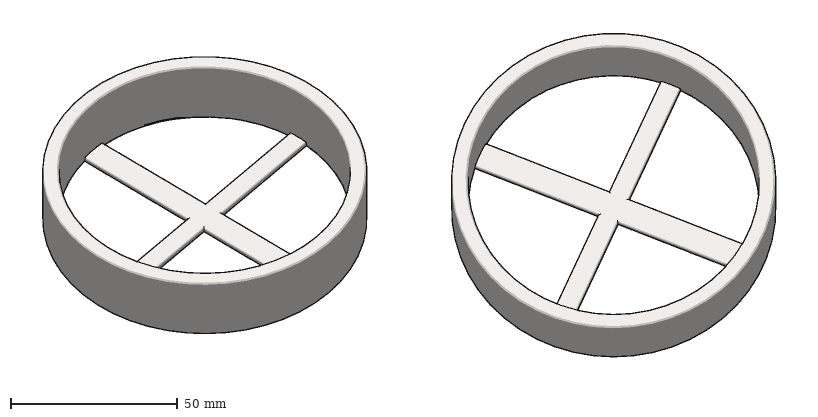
import cadquery as cq

outer_diameter = 97.5
inner_diameter = 87.5
height = 22.0
rim_round = 1.0

spoke_thickness = 2.5
spoke_x_width = 8.5
spoke_y_width = 6.5
spoke_round = 0.6

base_round = 1.5

spoke_length = (outer_diameter + inner_diameter) / 2


def make_ring():
    ring = cq.Workplane("XY").circle(outer_diameter / 2).circle(inner_diameter / 2).extrude(height)
    ring = ring.faces(">Z").edges().fillet(rim_round)
    return ring.faces("<Z").edges().fillet(base_round)


def make_spoke(length_x, length_y, long_edges):
    spoke = cq.Workplane("XY").rect(length_x, length_y).extrude(spoke_thickness)
    spoke = spoke.faces(">Z").edges(long_edges).fillet(spoke_round)
    return spoke.faces("<Z").edges(long_edges).fillet(base_round)


spoke_x = make_spoke(spoke_length, spoke_x_width, "|X")
spoke_y = make_spoke(spoke_y_width, spoke_length, "|Y")

result = make_ring().union(spoke_x).union(spoke_y)